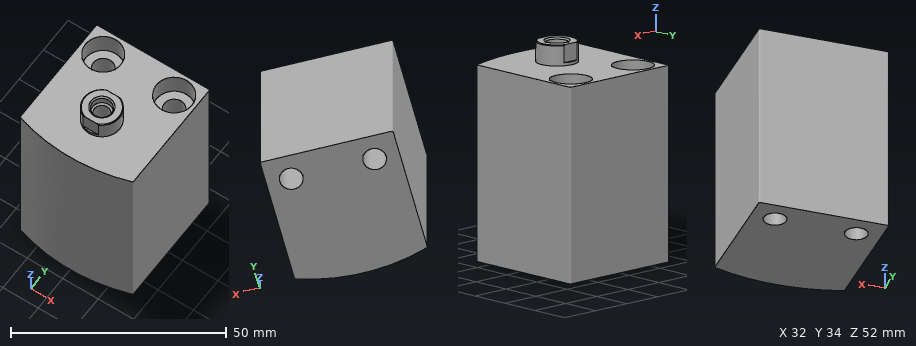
import cadquery as cq
import math

WIDTH = 32.0
DEPTH = 34.0
TOTAL_HEIGHT = 52.0
ROD_PROTRUSION = 5.0
HOUSING_HEIGHT = TOTAL_HEIGHT - ROD_PROTRUSION
FRONT_RADIUS = 50.0
CORNER_RADIUS = 0.4
ROD_TO_BACK = 21.0

MOUNT_SPACING = 20.0
MOUNT_TO_BACK = 6.0
MOUNT_DIAMETER = 5.5
COUNTERBORE_DIAMETER = 10.0
COUNTERBORE_DEPTH = 5.8

ROD_DIAMETER = 10.0
ROD_INSERTION = 15.0
ROD_LENGTH = ROD_INSERTION + ROD_PROTRUSION
ROD_CHAMFER = 0.2
FLAT_WIDTH = 9.0
FLAT_HEIGHT = 4.25

MOUTH_DIAMETER = 6.1
RELIEF_DIAMETER = 5.3
RELIEF_DEPTH = 2.15
STEP_HEIGHT = 0.3
CORE_DIAMETER = 4.15
CORE_DEPTH = 10.0
DRILL_POINT_ANGLE = 118.0


def make_housing():
    """Block with a bowed front, two mounting holes and a blind rod bore."""
    half_width = WIDTH / 2
    back = ROD_TO_BACK
    front = back - DEPTH
    bow = FRONT_RADIUS - math.sqrt(FRONT_RADIUS**2 - half_width**2)
    front_corner = front + bow

    block = (
        cq.Workplane("XY")
        .moveTo(half_width, front_corner)
        .lineTo(half_width, back)
        .lineTo(-half_width, back)
        .lineTo(-half_width, front_corner)
        .threePointArc((0, front), (half_width, front_corner))
        .close()
        .extrude(HOUSING_HEIGHT)
        .edges("|Z")
        .fillet(CORNER_RADIUS)
    )
    mount_y = back - MOUNT_TO_BACK
    top = cq.Workplane("XY", origin=(0, 0, HOUSING_HEIGHT))
    for mount_x in (-MOUNT_SPACING / 2, MOUNT_SPACING / 2):
        center = top.center(mount_x, mount_y)
        block = block.cut(center.circle(MOUNT_DIAMETER / 2).extrude(-HOUSING_HEIGHT))
        block = block.cut(center.circle(COUNTERBORE_DIAMETER / 2).extrude(-COUNTERBORE_DEPTH))
    return block.cut(top.circle(ROD_DIAMETER / 2).extrude(-ROD_INSERTION))


def make_rod_hole():
    """Revolved cutter: chamfered mouth, relief bore, core bore and drill point."""
    mouth = MOUTH_DIAMETER / 2
    relief = RELIEF_DIAMETER / 2
    core = CORE_DIAMETER / 2
    mouth_depth = mouth - relief
    step_depth = RELIEF_DEPTH + STEP_HEIGHT
    point_depth = CORE_DEPTH + core / math.tan(math.radians(DRILL_POINT_ANGLE / 2))
    return (
        cq.Workplane("XZ", origin=(0, 0, TOTAL_HEIGHT))
        .polyline([
            (0, 0),
            (mouth, 0),
            (relief, -mouth_depth),
            (relief, -RELIEF_DEPTH),
            (core, -step_depth),
            (core, -CORE_DEPTH),
            (0, -point_depth),
        ])
        .close()
        .revolve(360, (0, 0), (0, 1))
    )


def make_rod():
    """Round rod with two wrench flats and a stepped hole in its end."""
    rod = (
        cq.Workplane("XY", origin=(0, 0, TOTAL_HEIGHT - ROD_LENGTH))
        .circle(ROD_DIAMETER / 2)
        .extrude(ROD_LENGTH)
        .faces(">Z")
        .chamfer(ROD_CHAMFER)
    )
    flat_zone = cq.Workplane("XY", origin=(0, 0, TOTAL_HEIGHT)).rect(ROD_DIAMETER, ROD_DIAMETER)
    kept_zone = cq.Workplane("XY", origin=(0, 0, TOTAL_HEIGHT)).rect(ROD_DIAMETER, FLAT_WIDTH)
    flat_cutter = flat_zone.extrude(-FLAT_HEIGHT).cut(kept_zone.extrude(-FLAT_HEIGHT))
    return rod.cut(flat_cutter).cut(make_rod_hole())


housing = make_housing()
rod = make_rod()
result = cq.Compound.makeCompound([housing.val(), rod.val()])